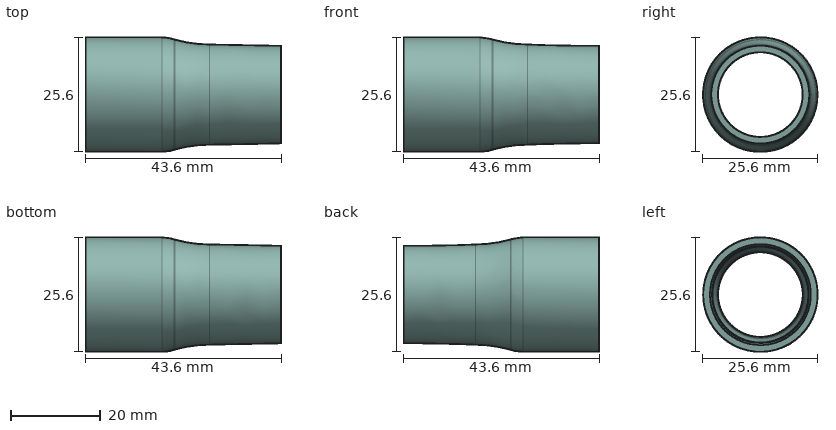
import cadquery as cq

length = 43.6

shoulder_start = 17.0
shoulder_end = 19.7
flare_start = 19.85
flare_end = 27.6

wide_radius = 25.6 / 2
shoulder_end_radius = 12.35
flare_start_radius = 12.3
flare_end_radius = 11.2
narrow_radius = 10.9

wide_wall = 1.53
flare_start_wall = 1.6
narrow_wall = 1.5

flare_sag = 0.25


def solid_of_revolution(wide_inset, flare_start_inset, narrow_inset):
    """Solid bounded by the outer profile moved inward by the given radial insets."""
    return (
        cq.Workplane("XY")
        .lineTo(0, wide_radius - wide_inset)
        .lineTo(shoulder_start, wide_radius - wide_inset)
        .tangentArcPoint((shoulder_end, shoulder_end_radius - wide_inset), relative=False)
        .lineTo(flare_start, flare_start_radius - flare_start_inset)
        .sagittaArc((flare_end, flare_end_radius - narrow_inset), -flare_sag)
        .lineTo(length, narrow_radius - narrow_inset)
        .lineTo(length, 0)
        .close()
        .revolve(360, (0, 0, 0), (1, 0, 0))
    )


body = solid_of_revolution(0, 0, 0)
bore = solid_of_revolution(wide_wall, flare_start_wall, narrow_wall)
result = body.cut(bore)